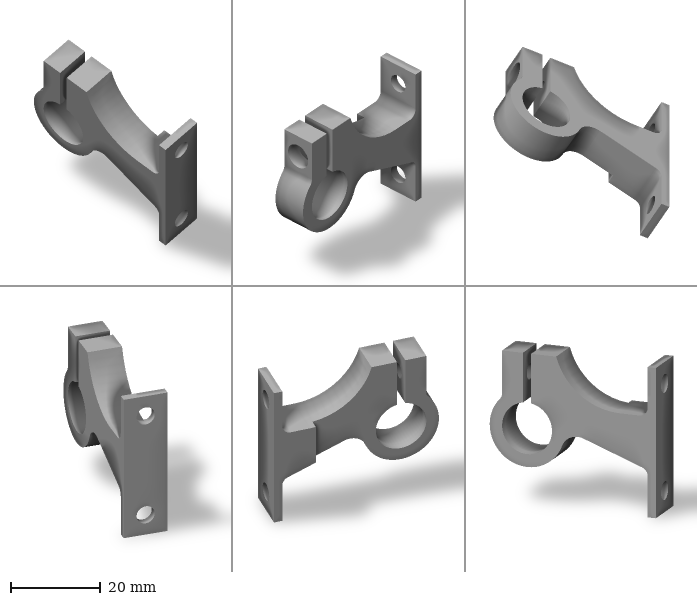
import cadquery as cq
import math


bore_radius = 6.0
ring_radius = 9.0
slit_width = 2.0
lug_left = -bore_radius
lug_fillet = 2.0

plate_back = 31.02
plate_thickness = 2.0
plate_height = 35.0
plate_depth = 10.4
plate_top = plate_height / 2
plate_bottom = -plate_top
plate_front = plate_back - plate_thickness
plate_hole_diameter = 4.3
plate_hole_edge_distance = 5.0

clamp_depth = 8.2
full_depth_length = 9.95
jaw_right = 7.0
arm_top = 6.0
arm_sweep_radius = 15.9
plate_fillet = 2.0
underside_angle = math.radians(20)
underside_at_plate = -6.5
underside_fillet = 4.0

screw_height = 12.0
screw_y = clamp_depth / 2
counterbore_diameter = 6.0
counterbore_depth = 3.5
clearance_diameter = 3.6
tap_drill_diameter = 2.5
tap_depth = 6.0
drill_point_angle = math.radians(118)


def point_on(center, radius, angle):
    """Point on a circle at an angle measured from +X towards +Z."""
    return (center[0] + radius * math.cos(angle), center[1] + radius * math.sin(angle))


def add_arc(path, center, radius, start, end):
    """Continue the path along a circle from the start angle to the end angle."""
    middle = point_on(center, radius, (start + end) / 2)
    return path.threePointArc(middle, point_on(center, radius, end))


def underside_height(x, offset=0.0):
    """Height of the sloping underside at x, moved downwards square to itself by the offset."""
    rise = (plate_front - x) * math.tan(underside_angle)
    return underside_at_plate + rise - offset / math.cos(underside_angle)


def underside_fillet_center():
    """Centre of the round that touches both the sloping underside and the ring."""
    distance = ring_radius + underside_fillet
    line_distance = underside_height(0, underside_fillet) * math.cos(underside_angle)
    angle = math.acos(line_distance / distance)
    return point_on((0, 0), distance, math.pi / 2 - underside_angle - angle)


def make_profile():
    """Outline of the bracket in the XZ plane, extruded over the full plate depth."""
    sweep_center_z = arm_top + arm_sweep_radius
    sweep_start = -math.pi + math.asin((sweep_center_z - plate_top) / arm_sweep_radius)
    sweep_center = (jaw_right - arm_sweep_radius * math.cos(sweep_start), sweep_center_z)

    fillet_x = plate_front - plate_fillet
    upper_center = (fillet_x, arm_top + plate_fillet)
    lower_center = (fillet_x, underside_height(fillet_x, plate_fillet))
    underside_normal = math.pi / 2 - underside_angle

    neck_center = underside_fillet_center()
    neck_angle = math.atan2(neck_center[1], neck_center[0])

    lug_fillet_x = lug_left - lug_fillet
    lug_fillet_z = math.sqrt((ring_radius + lug_fillet) ** 2 - lug_fillet_x ** 2)
    lug_center = (lug_fillet_x, lug_fillet_z)
    lug_angle = math.atan2(lug_fillet_z, lug_fillet_x)

    path = cq.Workplane("XZ").moveTo(lug_left, plate_top).lineTo(jaw_right, plate_top)
    path = add_arc(path, sweep_center, arm_sweep_radius, sweep_start, -math.pi / 2)
    path = path.lineTo(fillet_x, arm_top)
    path = add_arc(path, upper_center, plate_fillet, -math.pi / 2, 0)
    path = path.lineTo(plate_front, plate_top).lineTo(plate_back, plate_top)
    path = path.lineTo(plate_back, plate_bottom).lineTo(plate_front, plate_bottom)
    path = path.lineTo(plate_front, lower_center[1])
    path = add_arc(path, lower_center, plate_fillet, 0, underside_normal)
    path = path.lineTo(*point_on(neck_center, underside_fillet, underside_normal))
    path = add_arc(path, neck_center, underside_fillet, underside_normal, neck_angle + math.pi)
    path = add_arc(path, (0, 0), ring_radius, neck_angle, lug_angle - 2 * math.pi)
    path = add_arc(path, lug_center, lug_fillet, lug_angle - math.pi, 0)
    return path.close().extrude(-plate_depth)


def block(x_min, x_max, y_min, y_max, z_min, z_max):
    """Box given by its limits along each axis."""
    size = (x_max - x_min, y_max - y_min, z_max - z_min)
    return cq.Workplane("XY").box(*size, centered=False).translate((x_min, y_min, z_min))


def cylinder_along_x(x_start, length, diameter, y, z):
    """Cylinder that starts at x_start and runs towards +X."""
    return cq.Workplane("YZ", origin=(x_start, y, z)).circle(diameter / 2).extrude(length)


def make_step():
    """Space behind the clamp, where the part is thinner than the plate is deep."""
    step_x = plate_back - full_depth_length
    return block(-ring_radius, step_x, clamp_depth, plate_depth, plate_bottom, plate_top)


def make_bore_and_slit():
    """Bore through the ring and the slit that opens it upwards."""
    bore = cq.Workplane("XZ").circle(bore_radius).extrude(-plate_depth)
    slit = block(-slit_width / 2, slit_width / 2, 0, plate_depth, 0, plate_top)
    return bore.union(slit)


def make_screw_hole():
    """Counterbore, clearance hole across to the slit and blind tap drill hole with a pointed end."""
    slit_right = slit_width / 2
    tap_radius = tap_drill_diameter / 2
    tap_end = slit_right + tap_depth
    tip = tap_end + tap_radius / math.tan(drill_point_angle / 2)

    counterbore = cylinder_along_x(lug_left, counterbore_depth, counterbore_diameter, screw_y, screw_height)
    clearance = cylinder_along_x(lug_left, -lug_left, clearance_diameter, screw_y, screw_height)
    tap_drill = (
        cq.Workplane("XY")
        .polyline([(0, 0), (0, tap_radius), (tap_end, tap_radius), (tip, 0)])
        .close()
        .revolve(360, (0, 0, 0), (1, 0, 0))
        .translate((0, screw_y, screw_height))
    )
    return counterbore.union(clearance).union(tap_drill)


def make_plate_hole(z):
    """Through hole in the mounting plate."""
    return cylinder_along_x(plate_front, plate_thickness, plate_hole_diameter, plate_depth / 2, z)


result = make_profile().cut(make_step()).cut(make_bore_and_slit()).cut(make_screw_hole())
for hole_z in (plate_bottom + plate_hole_edge_distance, plate_top - plate_hole_edge_distance):
    result = result.cut(make_plate_hole(hole_z))